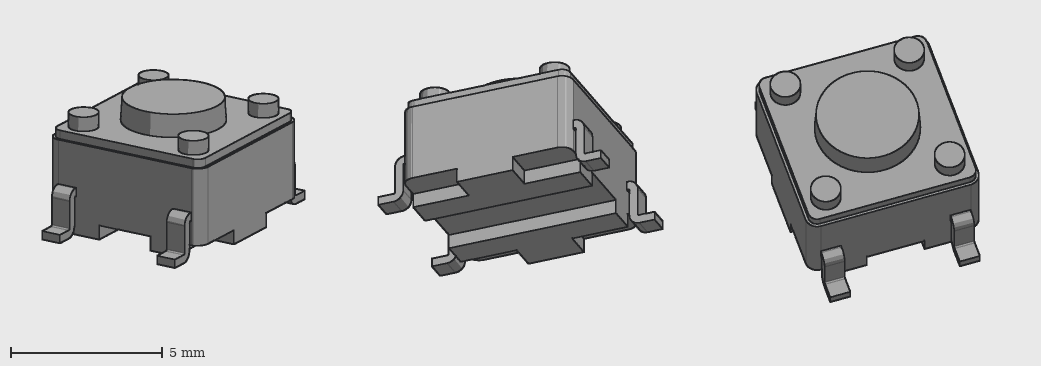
import cadquery as cq

body_side = 6.0
body_top = 3.2
corner_radius = 0.4

cover_inset = 0.1
cover_top = 3.5

button_base_radius = 1.75
button_top_radius = 1.7
button_top = 4.3

rivet_diameter = 1.0
rivet_offset = 2.15
rivet_top = 4.0

relief_height = 0.5
channel_width = 2.0
corner_notch_depth = 1.0
side_tab_width = 2.0

lead_span = 8.0
lead_width = 0.7
lead_thickness = 0.3
lead_inner_bend = 0.05
lead_outer_bend = lead_inner_bend + lead_thickness
lead_top = 1.65
lead_gap = 0.1
lead_embed = 0.5

half_body = body_side / 2
lead_center_x = half_body - corner_radius - lead_width / 2


def rounded_block(side, radius, bottom, top):
    """Square block centred on Z, with rounded upright edges."""
    block = cq.Workplane("XY").workplane(offset=bottom).rect(side, side).extrude(top - bottom)
    return block.edges("|Z").fillet(radius)


def make_housing():
    housing = rounded_block(body_side, corner_radius, 0, body_top)
    channel = cq.Workplane("XY").rect(channel_width, body_side).extrude(relief_height)
    notch_length = (body_side - side_tab_width) / 2
    notch_x = half_body - corner_notch_depth / 2
    notch_y = half_body - notch_length / 2
    notches = (
        cq.Workplane("XY")
        .rect(2 * notch_x, 2 * notch_y, forConstruction=True)
        .vertices()
        .rect(corner_notch_depth, notch_length)
        .extrude(relief_height)
    )
    return housing.cut(channel).cut(notches)


def make_cover():
    cover_side = body_side - 2 * cover_inset
    return rounded_block(cover_side, corner_radius - cover_inset, body_top, cover_top)


def make_button():
    return (
        cq.Workplane("XZ")
        .moveTo(0, cover_top)
        .lineTo(button_base_radius, cover_top)
        .lineTo(button_top_radius, button_top)
        .lineTo(0, button_top)
        .close()
        .revolve(360, (0, 0, 0), (0, 1, 0))
    )


def make_rivets():
    return (
        cq.Workplane("XY")
        .workplane(offset=cover_top)
        .rect(2 * rivet_offset, 2 * rivet_offset, forConstruction=True)
        .vertices()
        .circle(rivet_diameter / 2)
        .extrude(rivet_top - cover_top)
    )


def make_lead(center_x):
    """Gull-wing lead on the +Y side: out of the housing, down, then outward."""
    root_y = half_body - lead_embed
    inner_y = half_body + lead_gap
    outer_y = inner_y + lead_thickness
    tip_y = lead_span / 2
    inner = lead_inner_bend
    outer = lead_outer_bend
    arm_bottom = lead_top - lead_thickness
    return (
        cq.Workplane("YZ")
        .workplane(offset=center_x - lead_width / 2)
        .moveTo(root_y, lead_top)
        .lineTo(outer_y - outer, lead_top)
        .radiusArc((outer_y, lead_top - outer), outer)
        .lineTo(outer_y, lead_thickness + inner)
        .radiusArc((outer_y + inner, lead_thickness), -inner)
        .lineTo(tip_y, lead_thickness)
        .lineTo(tip_y, 0)
        .lineTo(inner_y + outer, 0)
        .radiusArc((inner_y, outer), outer)
        .lineTo(inner_y, arm_bottom - inner)
        .radiusArc((inner_y - inner, arm_bottom), -inner)
        .lineTo(root_y, arm_bottom)
        .close()
        .extrude(lead_width)
    )


result = make_housing().union(make_cover()).union(make_button()).union(make_rivets())
for center_x in (-lead_center_x, lead_center_x):
    lead = make_lead(center_x)
    result = result.union(lead).union(lead.mirror("XZ"))